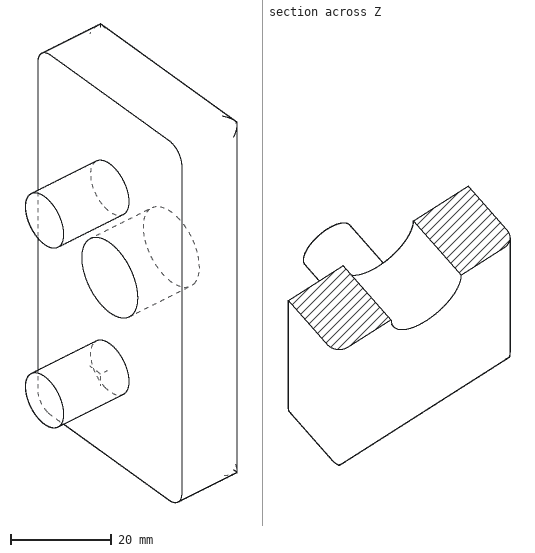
import cadquery as cq

plate_width = 45.0
plate_height = 90.0
plate_thickness = 16.0
corner_radius = 4.0
back_edge_radius = 3.0

hole_diameter = 17.5

peg_diameter = 12.0
peg_length = 17.0
peg_spacing = plate_height / 2


def make_block(edges, radius):
    """Block of the plate's outer size with the selected edges rounded to one radius."""
    box = cq.Workplane("XY").box(
        plate_width, plate_thickness, plate_height, centered=(True, False, True)
    )
    return box.edges(edges).fillet(radius)


def make_plate():
    """Common volume of three rounded blocks, so the straight roundings meet in mitres at the back corners."""
    rounded_corners = make_block("|Y", corner_radius)
    rounded_back_sides = make_block("|Z and >Y", back_edge_radius)
    rounded_back_ends = make_block("|X and >Y", back_edge_radius)
    return rounded_corners.intersect(rounded_back_sides).intersect(rounded_back_ends)


def make_hole():
    """Cylinder that clears the central hole, running toward +Y."""
    return cq.Workplane("XZ").circle(hole_diameter / 2).extrude(-plate_thickness)


def make_pegs():
    """Pegs running from the front face toward -Y."""
    centres = [(0, -peg_spacing / 2), (0, peg_spacing / 2)]
    return cq.Workplane("XZ").pushPoints(centres).circle(peg_diameter / 2).extrude(peg_length)


result = make_plate().cut(make_hole()).union(make_pegs())